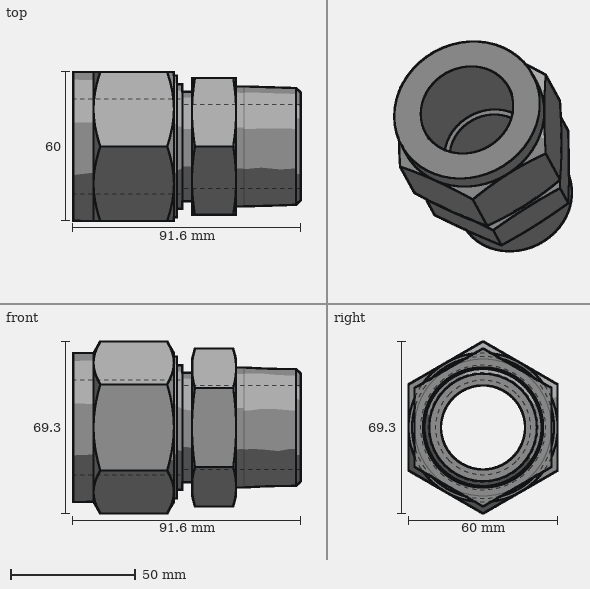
import cadquery as cq
import math


nut_start = 8.2
nut_end = 40.5
wide_ring_end = 41.8
narrow_ring_end = 44.0
body_hex_start = 47.8
body_hex_end = 65.5
taper_start = 68.6
total_length = 91.6
end_chamfer_length = 2.0
chamfer_start = total_length - end_chamfer_length

nut_across_flats = 60.0
nut_chamfer_angle = 30.0
body_across_flats = 55.05
body_chamfer_angle = 15.0

collar_radius = nut_across_flats / 2
wide_ring_radius = 28.6
narrow_ring_radius = 25.1
neck_radius = 22.1
male_radius = 24.2
taper_per_side = 1 / 32
taper_end_radius = male_radius - taper_per_side * (chamfer_start - taper_start)
tip_radius = 21.6

bore_diameter = 33.7
socket_diameter = 38.1
socket_depth = 44.0


def revolve_about_x(profile):
    """Turn a closed (x, radius) outline around the X axis."""
    return cq.Workplane("XY").polyline(profile).close().revolve(360, (0, 0, 0), (1, 0, 0))


def cylinder(start, end, radius):
    return cq.Workplane("YZ", origin=(start, 0, 0)).circle(radius).extrude(end - start)


def chamfered_hex(start, end, across_flats, chamfer_angle):
    """Hexagon along X with corners up and down, both ends coned off down to the flats."""
    flat_radius = across_flats / 2
    corner_radius = flat_radius / math.cos(math.radians(30))
    chamfer_length = (corner_radius - flat_radius) * math.tan(math.radians(chamfer_angle))
    prism = (
        cq.Workplane("YZ", origin=(start, 0, 0))
        .transformed(rotate=(0, 0, 90))
        .polygon(6, 2 * corner_radius)
        .extrude(end - start)
    )
    envelope = revolve_about_x([
        (start, 0),
        (start, flat_radius),
        (start + chamfer_length, corner_radius),
        (end - chamfer_length, corner_radius),
        (end, flat_radius),
        (end, 0),
    ])
    return prism.intersect(envelope)


core = revolve_about_x([
    (0, 0),
    (0, collar_radius),
    (nut_start, collar_radius),
    (nut_start, wide_ring_radius),
    (wide_ring_end, wide_ring_radius),
    (wide_ring_end, narrow_ring_radius),
    (narrow_ring_end, narrow_ring_radius),
    (narrow_ring_end, neck_radius),
    (body_hex_end, neck_radius),
    (body_hex_end, male_radius),
    (taper_start, male_radius),
    (chamfer_start, taper_end_radius),
    (total_length, tip_radius),
    (total_length, 0),
])

nut = chamfered_hex(nut_start, nut_end, nut_across_flats, nut_chamfer_angle)
body_hex = chamfered_hex(body_hex_start, body_hex_end, body_across_flats, body_chamfer_angle)

bore = cylinder(0, total_length, bore_diameter / 2)
socket = cylinder(0, socket_depth, socket_diameter / 2)

result = core.union(nut).union(body_hex).cut(bore).cut(socket)